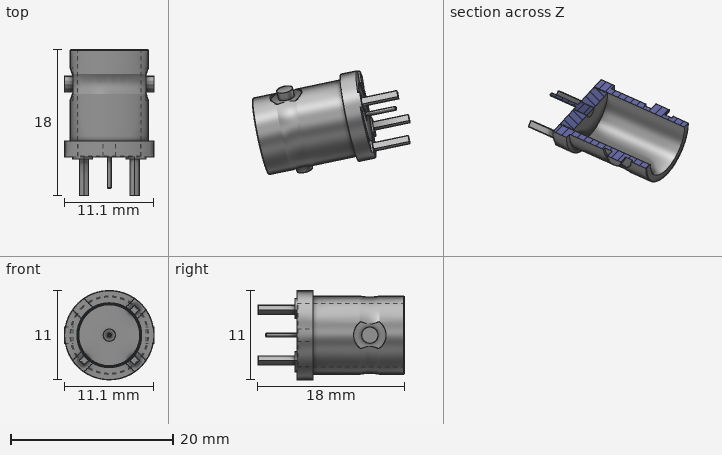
import cadquery as cq


overall_length = 18.0

barrel_diameter = 9.65
barrel_end_y = 13.25
mating_end_chamfer = 0.08
flange_diameter = 11.0
flange_thickness = 2.0
bore_diameter = 7.8
bore_chamfer = 0.1

groove_center_y = 9.0
groove_width = 2.47
groove_depth = 0.12
seat_diameter = 4.0
seat_distance = 4.5
peg_diameter = 2.0
peg_span = 11.07

pad_width = 1.98
pad_height = 0.25
pad_angles = [45, 135, 225, 315]
leg_angles = [45, 225, 315]
leg_side = 0.82
leg_tip_y = barrel_end_y - overall_length

insulator_diameter = 7.75
insulator_length = flange_thickness
insulator_chamfer = 0.12

contact_shoulder_diameter = 1.5
contact_pin_diameter = 0.5
contact_tip_y = -3.85
contact_tip_chamfer = 0.12

barrel_radius = barrel_diameter / 2
bore_radius = bore_diameter / 2
leg_inner_radius = bore_radius + bore_chamfer


def cylinder_y(diameter, start_y, end_y):
    """Cylinder on the connector axis between two Y positions."""
    disc = cq.Workplane("XZ", origin=(0, start_y, 0)).circle(diameter / 2)
    return disc.extrude(start_y - end_y)


def radial_block(inner_radius, outer_radius, width, start_y, end_y, angle):
    """Block reaching outward along +X between two radii, then turned about the connector axis."""
    block = cq.Workplane("XY").box(
        outer_radius - inner_radius, end_y - start_y, width, centered=(False, False, True)
    )
    block = block.translate((inner_radius, start_y, 0))
    return block.rotate((0, 0, 0), (0, 1, 0), -angle)


def make_groove():
    """Ring that cuts the shallow arc groove around the barrel."""
    half_width = groove_width / 2
    clear_radius = flange_diameter / 2
    profile = (
        cq.Workplane("XY")
        .moveTo(barrel_radius, groove_center_y - half_width)
        .threePointArc(
            (barrel_radius - groove_depth, groove_center_y),
            (barrel_radius, groove_center_y + half_width),
        )
        .lineTo(clear_radius, groove_center_y + half_width)
        .lineTo(clear_radius, groove_center_y - half_width)
        .close()
    )
    return profile.revolve(360, (0, 0, 0), (0, 1, 0))


def make_housing():
    barrel = cylinder_y(barrel_diameter, 0, barrel_end_y)
    barrel = barrel.faces(">Y").chamfer(mating_end_chamfer)
    barrel = barrel.cut(make_groove())

    for side in (-1, 1):
        side_plane = cq.Workplane("YZ", origin=(side * seat_distance, 0, 0)).center(groove_center_y, 0)
        barrel = barrel.cut(side_plane.circle(seat_diameter / 2).extrude(side * barrel_radius))
        peg_length = peg_span / 2 - seat_distance
        barrel = barrel.union(side_plane.circle(peg_diameter / 2).extrude(side * peg_length))

    housing = barrel.union(cylinder_y(flange_diameter, 0, flange_thickness))

    rim = cylinder_y(flange_diameter, -pad_height, flange_thickness)
    for angle in pad_angles:
        pad = radial_block(bore_radius / 2, flange_diameter, pad_width, -pad_height, flange_thickness, angle)
        housing = housing.union(pad.intersect(rim))

    housing = housing.cut(cylinder_y(bore_diameter, -pad_height, barrel_end_y))
    entry = cq.Workplane(
        cq.Solid.makeCone(
            leg_inner_radius, bore_radius, bore_chamfer, pnt=cq.Vector(0, 0, 0), dir=cq.Vector(0, 1, 0)
        )
    )
    housing = housing.cut(entry).cut(cylinder_y(2 * leg_inner_radius, -pad_height, 0))

    for angle in leg_angles:
        leg = radial_block(
            leg_inner_radius, leg_inner_radius + leg_side, leg_side, leg_tip_y, bore_chamfer, angle
        )
        housing = housing.union(leg)
    return housing


def make_insulator():
    insulator = cylinder_y(insulator_diameter, 0, insulator_length)
    insulator = insulator.faces("<Y").chamfer(insulator_chamfer)
    return insulator.cut(cylinder_y(contact_shoulder_diameter, 0, insulator_length))


def make_contact():
    shoulder = cylinder_y(contact_shoulder_diameter, 0, insulator_length)
    pin = cylinder_y(contact_pin_diameter, contact_tip_y, 0)
    pin = pin.faces("<Y").chamfer(contact_tip_chamfer)
    return shoulder.union(pin)


housing = make_housing()
insulator = make_insulator()
contact = make_contact()

result = cq.Compound.makeCompound([housing.val(), insulator.val(), contact.val()])